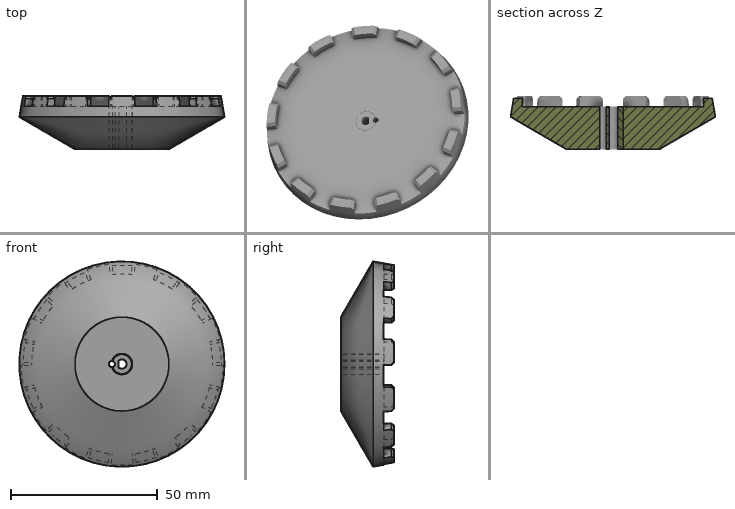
import cadquery as cq
import math


total_depth = 18.17
rim_radius = 35.0
nose_radius = 16.0
rim_depth = 7.15
rim_taper = 10.0
rim_back_radius = rim_radius - rim_depth * math.tan(math.radians(rim_taper))
nose_depth = total_depth - rim_depth

tooth_count = 13
tooth_pitch = 360.0 / tooth_count
gap_angle = 12.7
tooth_height = 3.6
tooth_chamfer = 1.0
crown_inner_radius = 30.8
gap_floor = total_depth - tooth_height
chamfer_start = total_depth - tooth_chamfer
cutter_reach = rim_radius + 5.0

hub_bore_radius = 3.5
hub_clearance = 0.1
hub_radius = hub_bore_radius - hub_clearance
shaft_radius = 1.55
shaft_flat = 1.1
lock_hole_radius = 1.0
lock_hole_x = -hub_radius


def turned(points):
    """Revolve an outline of (radius, Y) points about the Y axis."""
    return cq.Workplane("XY").polyline(points).close().revolve(360, (0, 0, 0), (0, 1, 0))


def rod(radius, x=0.0):
    """Cylinder along Y over the whole depth of the wheel."""
    return cq.Workplane("XZ").center(x, 0).circle(radius).extrude(-total_depth)


def gap_section(y, flank_offset):
    """Wedge outline at height y, with both flanks moved out by flank_offset."""
    half_angle = math.radians(gap_angle / 2)
    apex_z = -flank_offset / math.sin(half_angle)
    half_width = (cutter_reach - apex_z) * math.tan(half_angle)
    corners = [
        (0, apex_z),
        (half_width, cutter_reach),
        (-half_width, cutter_reach),
    ]
    return cq.Workplane("XZ", origin=(0, y, 0)).polyline(corners).close()


def gap_cutter():
    """Radial-sided gap around +Z whose mouth is chamfered along both flanks."""
    straight = gap_section(gap_floor, 0).extrude(-tooth_height)
    mouth_ends = [gap_section(chamfer_start, 0), gap_section(total_depth, tooth_chamfer)]
    wires = [section.wire().val() for section in mouth_ends]
    mouth = cq.Workplane(cq.Solid.makeLoft(wires, True))
    return straight.union(mouth)


def make_wheel():
    """Coned disc with a flat-floored recess behind, ringed by the teeth."""
    body = turned([
        (0, 0),
        (nose_radius, 0),
        (rim_radius, nose_depth),
        (rim_back_radius, total_depth),
        (0, total_depth),
    ])
    crown_bore = turned([
        (0, gap_floor),
        (crown_inner_radius, gap_floor),
        (crown_inner_radius, total_depth),
        (0, total_depth),
    ])
    body = body.cut(crown_bore)

    cutter = gap_cutter()
    for index in range(tooth_count):
        angle = (index + 0.5) * tooth_pitch
        body = body.cut(cutter.rotate((0, 0, 0), (0, 1, 0), angle))

    return body.cut(rod(hub_bore_radius)).cut(rod(lock_hole_radius, lock_hole_x))


def make_hub():
    """Round insert, level with the nose and the recess floor, with a D-shaped shaft hole."""
    hole_block = cq.Workplane("XY").box(
        2 * shaft_radius,
        total_depth,
        2 * shaft_radius,
        centered=(False, False, True),
    )
    shaft_hole = rod(shaft_radius).intersect(hole_block.translate((-shaft_flat, 0, 0)))
    body = cq.Workplane("XZ").circle(hub_radius).extrude(-gap_floor)
    return body.cut(shaft_hole).cut(rod(lock_hole_radius, lock_hole_x))


wheel = make_wheel()
hub = make_hub()

result = cq.Compound.makeCompound([wheel.val(), hub.val()])